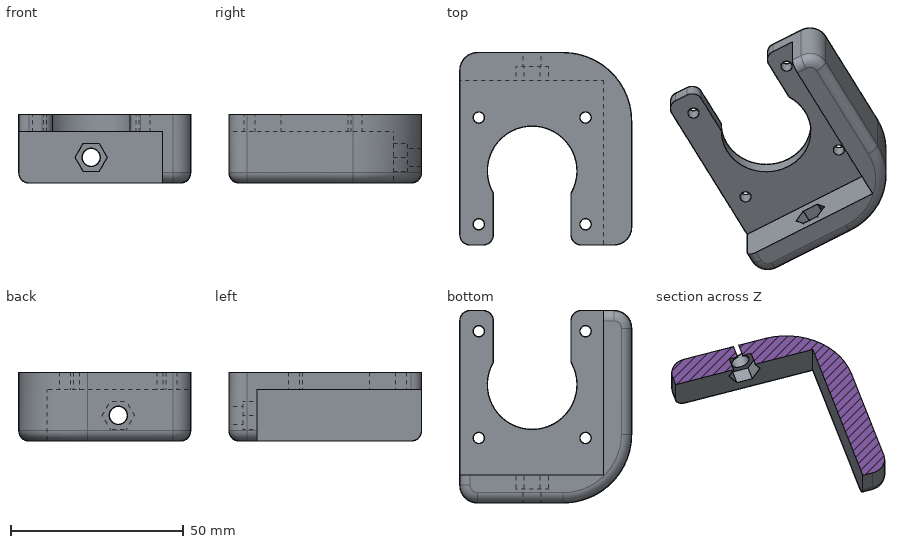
import cadquery as cq
import math

WIDTH = 50.0
DEPTH = 56
HEIGHT = 20.0
PLATE_THICKNESS = 5.0
WALL_THICKNESS = 8.2
WALL_HEIGHT = HEIGHT - PLATE_THICKNESS
INNER_WIDTH = WIDTH - WALL_THICKNESS
INNER_DEPTH = DEPTH - WALL_THICKNESS

WALL_END_RADIUS = 5.2
BACK_CORNER_RADIUS = 20.0
PRONG_RADIUS = 3.0
BOTTOM_FILLET = 3.0

MOTOR_X = 21.05
MOTOR_Y = 21.55
BORE_RADIUS = 13.0
SLOT_WIDTH = 22.5
HOLE_SPACING = 31.0
HOLE_DIAMETER = 3.2

BOLT_DIAMETER = 5.2
NUT_ACROSS_FLATS = 8.1
NUT_DEPTH = WALL_THICKNESS / 2


def block(width, depth, height):
    """Box with its lowest corner at the origin."""
    return cq.Workplane("XY").box(width, depth, height, centered=False)


def outer_body():
    """Solid block with rounded corners and a rounded bottom edge."""
    body = block(WIDTH, DEPTH, HEIGHT)
    body = body.edges("|Z and >X and >Y").fillet(BACK_CORNER_RADIUS)
    body = body.edges(cq.selectors.NearestToPointSelector((0, DEPTH, HEIGHT / 2))).fillet(WALL_END_RADIUS)
    body = body.edges(cq.selectors.NearestToPointSelector((WIDTH, 0, HEIGHT / 2))).fillet(WALL_END_RADIUS)
    return body.faces("<Z").edges().fillet(BOTTOM_FILLET)


def inner_space():
    """Space under the plate, leaving walls on the +X and +Y sides."""
    return block(INNER_WIDTH, INNER_DEPTH, WALL_HEIGHT)


def round_front_left_corner(body):
    corner = cq.selectors.NearestToPointSelector((0, 0, HEIGHT - PLATE_THICKNESS / 2))
    return body.edges(corner).fillet(PRONG_RADIUS)


def motor_opening(body):
    """Round bore joined to the front edge by a slot with rounded mouth corners."""
    slot_left = MOTOR_X - SLOT_WIDTH / 2
    slot_right = MOTOR_X + SLOT_WIDTH / 2
    slot = block(SLOT_WIDTH, MOTOR_Y, PLATE_THICKNESS).translate((slot_left, 0, WALL_HEIGHT))
    bore = (
        cq.Workplane("XY", origin=(MOTOR_X, MOTOR_Y, WALL_HEIGHT))
        .circle(BORE_RADIUS)
        .extrude(PLATE_THICKNESS)
    )
    body = body.cut(slot).cut(bore)
    for x in (slot_left, slot_right):
        mouth = cq.selectors.NearestToPointSelector((x, 0, HEIGHT - PLATE_THICKNESS / 2))
        body = body.edges(mouth).fillet(PRONG_RADIUS)
    return body


def mounting_holes():
    return (
        cq.Workplane("XY", origin=(MOTOR_X, MOTOR_Y, WALL_HEIGHT))
        .rect(HOLE_SPACING, HOLE_SPACING, forConstruction=True)
        .vertices()
        .circle(HOLE_DIAMETER / 2)
        .extrude(PLATE_THICKNESS)
    )


def bolt_and_nut():
    """Bolt hole through the back wall with a nut pocket on its inner face."""
    across_corners = NUT_ACROSS_FLATS / math.cos(math.pi / 6)
    inner_face = cq.Workplane("XZ", origin=(MOTOR_X, INNER_DEPTH, WALL_HEIGHT / 2))
    bolt = inner_face.circle(BOLT_DIAMETER / 2).extrude(-WALL_THICKNESS)
    nut = inner_face.polygon(6, across_corners).extrude(-NUT_DEPTH)
    return bolt.union(nut)


bracket = outer_body().cut(inner_space())
bracket = round_front_left_corner(bracket)
bracket = motor_opening(bracket)
result = bracket.cut(mounting_holes()).cut(bolt_and_nut())